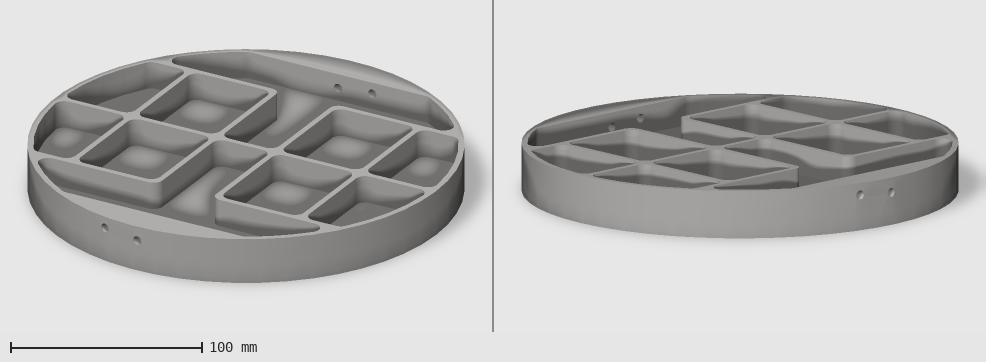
import cadquery as cq

disc_diameter = 228.5
disc_height = 25.4
rim_wall = 3.2
inner_radius = disc_diameter / 2 - rim_wall

pocket_depth = 15.3
corner_radius = 5.5
rib = 3.2
stem_half_width = 16.2
box_length_x = 47.8
box_length_y = 60.1
crossbar_outer_y = 97.0

pocket_inner_y = rib / 2
box_inner_x = stem_half_width + rib
box_outer_x = box_inner_x + box_length_x
box_outer_y = pocket_inner_y + box_length_y
side_inner_x = box_outer_x + rib
crossbar_inner_y = box_outer_y + rib

wall_hole_diameter = 4.8
wall_holes = [(-20.5, 19.0), (0.0, 17.4)]


def pocket_block(x_min, x_max, y_min, y_max):
    """Block from the pocket floor up to the top face."""
    return (
        cq.Workplane("XY", origin=(0, 0, disc_height - pocket_depth))
        .moveTo(x_min, y_min)
        .lineTo(x_max, y_min)
        .lineTo(x_max, y_max)
        .lineTo(x_min, y_max)
        .close()
        .extrude(pocket_depth)
    )


def rounded_inside_rim(block):
    """Trim a block to the inner rim circle and round its upright corners."""
    rim = cq.Workplane("XY").circle(inner_radius).extrude(disc_height)
    return block.intersect(rim).edges("|Z").fillet(corner_radius)


def t_pocket():
    """T-shaped pocket of the +Y half: a wide crossbar and a leg towards the centre."""
    crossbar = pocket_block(-inner_radius, inner_radius, crossbar_inner_y, crossbar_outer_y)
    leg = pocket_block(-stem_half_width, stem_half_width, pocket_inner_y, crossbar_outer_y)
    return rounded_inside_rim(crossbar.union(leg))


def box_pocket():
    """Rectangular pocket of the +X +Y quarter."""
    return rounded_inside_rim(pocket_block(box_inner_x, box_outer_x, pocket_inner_y, box_outer_y))


def side_pocket():
    """Pocket of the +X +Y quarter bounded by the rim."""
    return rounded_inside_rim(pocket_block(side_inner_x, inner_radius, pocket_inner_y, box_outer_y))


def wall_hole_drills():
    """Drills along Y that pass through the -Y wall into its T-shaped pocket."""
    drill_length = disc_diameter / 2 - crossbar_outer_y
    return (
        cq.Workplane("XZ", origin=(0, -crossbar_outer_y, 0))
        .pushPoints(wall_holes)
        .circle(wall_hole_diameter / 2)
        .extrude(drill_length)
    )


result = cq.Workplane("XY").circle(disc_diameter / 2).extrude(disc_height)

for angle in (0, 180):
    for tool in (t_pocket(), wall_hole_drills()):
        result = result.cut(tool.rotate((0, 0, 0), (0, 0, 1), angle))

for quarter_pocket in (box_pocket(), side_pocket()):
    half_pair = quarter_pocket.union(quarter_pocket.mirror("YZ"))
    result = result.cut(half_pair).cut(half_pair.mirror("XZ"))